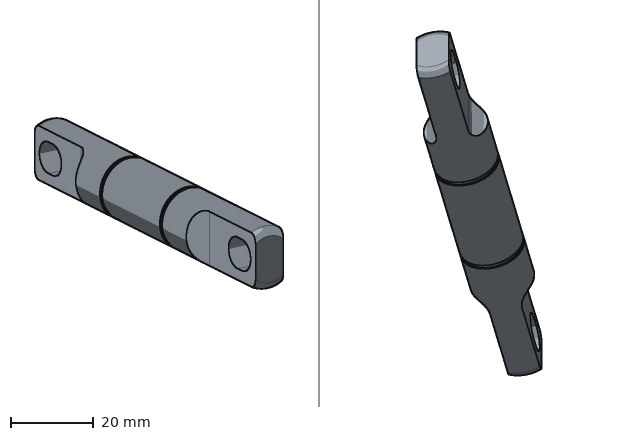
import cadquery as cq

length = 100.0
diameter = 16.0
end_round = 2.0

tongue_thickness = 8.0
flat_length = 21.0
blend_radius = (diameter - tongue_thickness) / 2

slot_length = 10.0
slot_width = 8.0
slot_end_gap = 2.2

groove_width = 1.1
groove_depth = 0.4
groove_spacing = 27.1

radius = diameter / 2
half_length = length / 2
half_tongue = tongue_thickness / 2


def pin_body():
    """Plain round bar with rounded rims at both ends."""
    bar = cq.Workplane("YZ", origin=(-half_length, 0, 0)).circle(radius).extrude(length)
    return bar.faces("<X or >X").edges().fillet(end_round)


def flat_cutter(end, side):
    """Waste beside one tongue; its inner end is a quarter round rising to the pin surface."""
    flat_end = half_length - flat_length
    blend_end = flat_end - blend_radius
    diagonal = blend_radius / 2**0.5
    return (
        cq.Workplane("XY")
        .moveTo(end * half_length, side * half_tongue)
        .lineTo(end * flat_end, side * half_tongue)
        .threePointArc(
            (end * (flat_end - diagonal), side * (radius - diagonal)),
            (end * blend_end, side * radius),
        )
        .lineTo(end * half_length, side * radius)
        .close()
        .extrude(radius, both=True)
    )


def slot_cutter(end):
    """Round-ended slot along X, passing through the tongue in Y."""
    slot_x = end * (half_length - slot_end_gap - slot_length / 2)
    return (
        cq.Workplane("XZ")
        .center(slot_x, 0)
        .slot2D(slot_length, slot_width)
        .extrude(radius, both=True)
    )


def groove_cutter(end):
    """Ring cutter that reaches well outside the pin surface."""
    groove_x = end * groove_spacing / 2
    cutter_radius = diameter
    return (
        cq.Workplane("YZ", origin=(groove_x, 0, 0))
        .circle(cutter_radius)
        .circle(radius - groove_depth)
        .extrude(groove_width / 2, both=True)
    )


result = pin_body()
for end in (-1, 1):
    for side in (-1, 1):
        result = result.cut(flat_cutter(end, side))
    result = result.cut(slot_cutter(end))
    result = result.cut(groove_cutter(end))